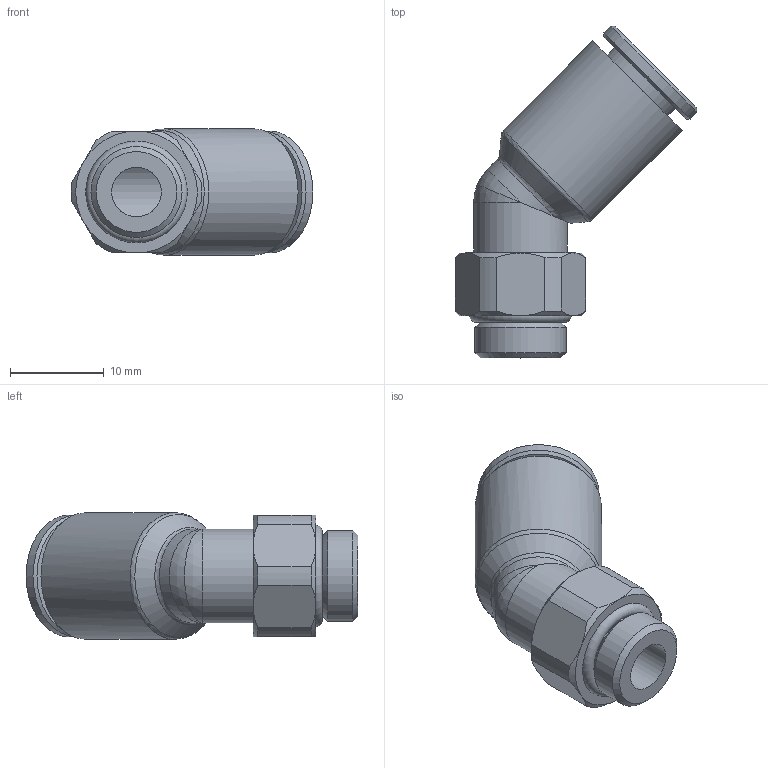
import cadquery as cq
import math

STEM_LENGTH = 16.6
ELBOW_DIAMETER = 10.0
STEM_BORE_DIAMETER = 5.3
THREAD_DIAMETER = 9.73
THREAD_LENGTH = 3.8
THREAD_CHAMFER = 0.55

SEAL_OUTER_DIAMETER = 10.85
SEAL_SECTION_RADIUS = 0.7

HEX_START = 4.5
HEX_LENGTH = 6.7
HEX_ACROSS_FLATS = 13.0
HEX_CORNER_DIAMETER = 14.0
HEX_HALF_ANGLE = 30.0
HEX_CHAMFER = 0.5

BRANCH_ANGLE = 45.0
TUBE_BORE_DIAMETER = 8.0
BODY_DIAMETER = 13.5
BODY_END = 17.65
CONE_START = 1.8
CONE_ANGLE = 40.0
CONE_FILLET = 0.8

COLLAR_NECK_DIAMETER = 9.2
FLANGE_DIAMETER = 13.0
FLANGE_START = 18.8
FLANGE_END = 20.45
FLANGE_CHAMFER = 0.3

ORIGIN = (0, 0, 0)
Y_AXIS = (0, 1, 0)
Z_AXIS = (0, 0, 1)
FULL_TURN = 360
STEM_END = -STEM_LENGTH
THREAD_TOP = STEM_END + THREAD_LENGTH
HEX_BOTTOM = STEM_END + HEX_START
HEX_TOP = HEX_BOTTOM + HEX_LENGTH
ELBOW_RADIUS = ELBOW_DIAMETER / 2


def revolve_about_y(profile):
    """Turn a closed (radius, y) profile through a full circle about Y."""
    return profile.close().revolve(FULL_TURN, ORIGIN, Y_AXIS)


def cylinder_along_y(diameter, start, end):
    return cq.Workplane("XZ", origin=(0, start, 0)).circle(diameter / 2).extrude(start - end)


def tilt_to_branch(solid):
    """Swing a solid built along +Y onto the branch axis."""
    return solid.rotate(ORIGIN, Z_AXIS, -BRANCH_ANGLE)


def make_stem():
    """Threaded end, undercut below the hexagon and plain neck ending in a hemisphere at the elbow."""
    thread_radius = THREAD_DIAMETER / 2
    chamfered_radius = thread_radius - THREAD_CHAMFER
    profile = (
        cq.Workplane("XY")
        .moveTo(0, STEM_END)
        .lineTo(chamfered_radius, STEM_END)
        .lineTo(thread_radius, STEM_END + THREAD_CHAMFER)
        .lineTo(thread_radius, THREAD_TOP - THREAD_CHAMFER)
        .lineTo(chamfered_radius, THREAD_TOP)
        .lineTo(chamfered_radius, HEX_BOTTOM)
        .lineTo(ELBOW_RADIUS, HEX_BOTTOM)
        .lineTo(ELBOW_RADIUS, 0)
        .radiusArc((0, ELBOW_RADIUS), -ELBOW_RADIUS)
    )
    return revolve_about_y(profile)


def make_seal():
    """Round ring half sunk into the lower face of the hexagon."""
    ring_radius = SEAL_OUTER_DIAMETER / 2 - SEAL_SECTION_RADIUS
    section = cq.Workplane("XY").center(ring_radius, HEX_BOTTOM).circle(SEAL_SECTION_RADIUS)
    return section.revolve(FULL_TURN, (-ring_radius, 0, 0), (-ring_radius, 1, 0))


def make_hexagon():
    """Hexagon with corners on X, trimmed by a chamfered round blank."""
    across_corners = HEX_ACROSS_FLATS / math.cos(math.radians(HEX_HALF_ANGLE))
    prism = cq.Workplane("XZ", origin=(0, HEX_BOTTOM, 0)).polygon(6, across_corners).extrude(-HEX_LENGTH)
    blank = cylinder_along_y(HEX_CORNER_DIAMETER, HEX_BOTTOM, HEX_TOP).edges().chamfer(HEX_CHAMFER)
    return prism.intersect(blank)


def make_socket():
    """Branch neck with a hemispherical start, then a blended cone and the socket body."""
    body_radius = BODY_DIAMETER / 2
    cone_end = CONE_START + (body_radius - ELBOW_RADIUS) / math.tan(math.radians(CONE_ANGLE))
    profile = (
        cq.Workplane("XY")
        .moveTo(0, -ELBOW_RADIUS)
        .radiusArc((ELBOW_RADIUS, 0), -ELBOW_RADIUS)
        .lineTo(ELBOW_RADIUS, CONE_START)
        .lineTo(body_radius, cone_end)
        .lineTo(body_radius, BODY_END)
        .lineTo(0, BODY_END)
    )
    socket = revolve_about_y(profile)
    return socket.faces("%CONE").edges("%CIRCLE").fillet(CONE_FILLET)


def make_collar():
    """Release collar: narrow neck and chamfered flange."""
    neck = cylinder_along_y(COLLAR_NECK_DIAMETER, BODY_END, FLANGE_START)
    flange = cylinder_along_y(FLANGE_DIAMETER, FLANGE_START, FLANGE_END).edges().chamfer(FLANGE_CHAMFER)
    return neck.union(flange)


def make_mitre_block():
    """Block filling the branch side of the plane that halves the elbow angle."""
    size = 4 * STEM_LENGTH
    block = cq.Workplane("XY").box(size, size, size).translate((0, size / 2, 0))
    return block.rotate(ORIGIN, Z_AXIS, -BRANCH_ANGLE / 2)


def make_part():
    mitre_block = make_mitre_block()
    stem = make_stem().cut(mitre_block)
    branch = tilt_to_branch(make_socket().union(make_collar())).intersect(mitre_block)
    outside = stem.union(branch).union(make_hexagon()).union(make_seal())

    stem_bore = cylinder_along_y(STEM_BORE_DIAMETER, STEM_END, STEM_BORE_DIAMETER / 2)
    tube_bore = tilt_to_branch(cylinder_along_y(TUBE_BORE_DIAMETER, 0, FLANGE_END))
    return outside.cut(stem_bore).cut(tube_bore)


result = make_part()